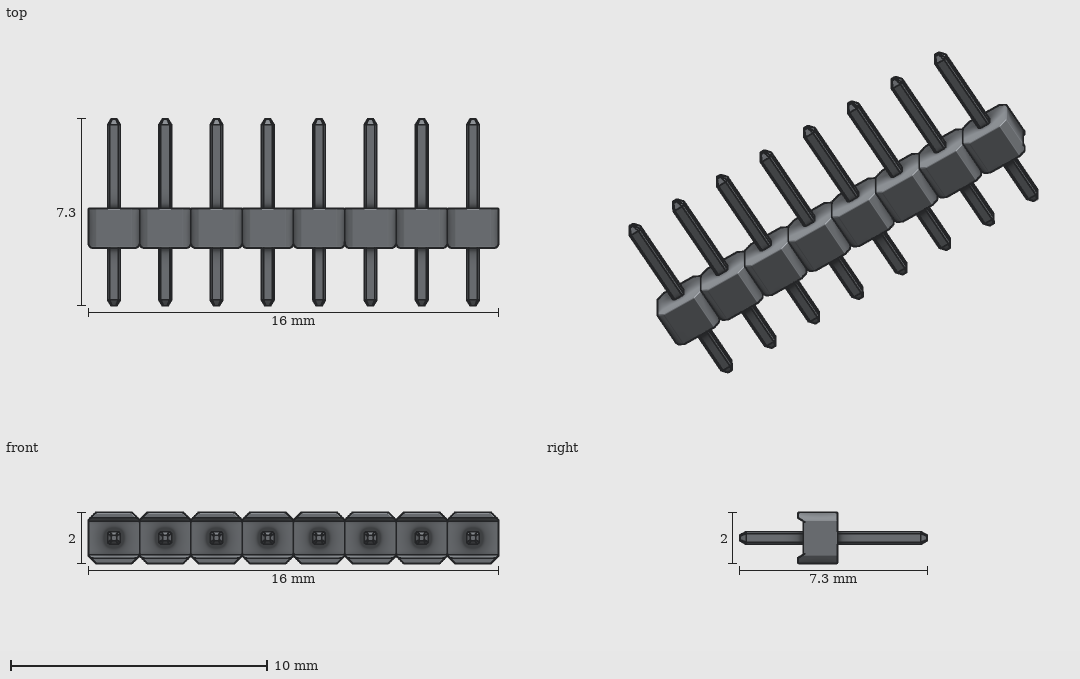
import cadquery as cq
ROW_LENGTH = 16.0
POSITIONS = 8
PITCH = ROW_LENGTH / POSITIONS

BLOCK_SIZE = PITCH
CORNER_CUT = 0.3
EDGE_RADIUS = 0.06

PIN_LENGTH = 7.3
PIN_WIDTH = 0.5
PIN_EDGE_CHAMFER = 0.08
TIP_LENGTH = 0.24
TIP_WIDTH = 0.2
TIP_EDGE_CHAMFER = 0.03
REAR_PROTRUSION = 3.49

PIN_FRONT = -PIN_LENGTH / 2
PIN_REAR = PIN_LENGTH / 2
BLOCK_LENGTH = 1.55
BLOCK_REAR = PIN_REAR - REAR_PROTRUSION
BLOCK_FRONT = BLOCK_REAR - BLOCK_LENGTH

RECESS_DEPTH = 0.2
RECESS_FLOOR_HEIGHT = 1.31
RECESS_MOUTH_HEIGHT = 1.57


def octagon(width, corner_cut):
    """Square sketch with its four corners cut at 45 degrees."""
    return cq.Sketch().rect(width, width).vertices().chamfer(corner_cut)


def bevelled_bar(width, corner_cut, y_front, y_rear):
    """Octagonal bar along Y, centred on X and Z."""
    rear_plane = cq.Workplane("XZ", origin=(0, y_rear, 0))
    return rear_plane.placeSketch(octagon(width, corner_cut)).extrude(y_rear - y_front)


def make_recess():
    """Trapezoidal channel along X that opens toward the front of the block."""
    floor_y = BLOCK_FRONT + RECESS_DEPTH
    half_floor = RECESS_FLOOR_HEIGHT / 2
    half_mouth = RECESS_MOUTH_HEIGHT / 2
    outline = [
        (floor_y, -half_floor),
        (floor_y, half_floor),
        (BLOCK_FRONT, half_mouth),
        (BLOCK_FRONT, -half_mouth),
    ]
    return cq.Workplane("YZ").polyline(outline).close().extrude(BLOCK_SIZE / 2, both=True)


def make_block():
    bar = bevelled_bar(BLOCK_SIZE, CORNER_CUT, BLOCK_FRONT, BLOCK_REAR)
    block = bar.edges().fillet(EDGE_RADIUS).cut(make_recess())
    recess_ends = block.edges("|Z and (<X or >X)").edges("<Y")
    return recess_ends.fillet(EDGE_RADIUS)


def make_front_tip():
    """Pyramid-like point from the full pin section down to the small end face."""
    base = octagon(PIN_WIDTH, PIN_EDGE_CHAMFER)
    end = octagon(TIP_WIDTH, TIP_EDGE_CHAMFER).moved(cq.Location(cq.Vector(0, 0, TIP_LENGTH)))
    base_plane = cq.Workplane("XZ", origin=(0, PIN_FRONT + TIP_LENGTH, 0))
    return base_plane.placeSketch(base, end).loft()


def make_pin():
    shank = bevelled_bar(PIN_WIDTH, PIN_EDGE_CHAMFER, PIN_FRONT + TIP_LENGTH, PIN_REAR - TIP_LENGTH)
    front_tip = make_front_tip()
    return shank.union(front_tip).union(front_tip.mirror("XZ"))


def make_position():
    """One header position: a block moulded in one piece with its pin."""
    return make_block().union(make_pin())


position = make_position()
FIRST_X = -(ROW_LENGTH - PITCH) / 2
positions = [position.translate((FIRST_X + i * PITCH, 0, 0)) for i in range(POSITIONS)]

result = cq.Compound.makeCompound([body.val() for body in positions])